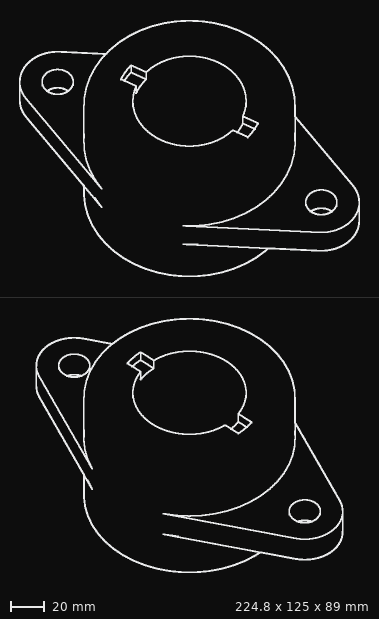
import cadquery as cq
import math

hub_diameter = 125.0
hub_height = 89.0
bore_diameter = 67.0
top_fillet = 5.0

flange_length = 224.8
ear_radius = 22.5
flange_bottom = 31.3
flange_thickness = 18
bolt_hole_diameter = 18.5

keyway_circle_diameter = 87.5
keyway_width = 12.0
keyway_depth = 7.0

hub_radius = hub_diameter / 2
ear_offset = flange_length / 2 - ear_radius


def make_hub():
    hub = cq.Workplane("XY").circle(hub_radius).extrude(hub_height)
    return hub.faces(">Z").edges().fillet(top_fillet)


def make_flange():
    """Plate with straight sides tangent to the hub and ears; its middle lies inside the hub."""
    tangent_cos = (hub_radius - ear_radius) / ear_offset
    tangent_sin = math.sqrt(1 - tangent_cos**2)
    hub_x = hub_radius * tangent_cos
    hub_y = hub_radius * tangent_sin
    ear_x = ear_offset + ear_radius * tangent_cos
    ear_y = ear_radius * tangent_sin
    tip_x = flange_length / 2
    return (
        cq.Workplane("XY")
        .workplane(offset=flange_bottom)
        .moveTo(hub_x, hub_y)
        .lineTo(ear_x, ear_y)
        .threePointArc((tip_x, 0), (ear_x, -ear_y))
        .lineTo(hub_x, -hub_y)
        .lineTo(-hub_x, -hub_y)
        .lineTo(-ear_x, -ear_y)
        .threePointArc((-tip_x, 0), (-ear_x, ear_y))
        .lineTo(-hub_x, hub_y)
        .close()
        .extrude(flange_thickness)
    )


def make_bolt_holes():
    return (
        cq.Workplane("XY")
        .workplane(offset=flange_bottom)
        .pushPoints([(-ear_offset, 0), (ear_offset, 0)])
        .circle(bolt_hole_diameter / 2)
        .extrude(flange_thickness)
    )


def make_keyways():
    """Bar across the bore, rounded at its ends by the keyway circle."""
    keyway_plane = cq.Workplane("XY").workplane(offset=hub_height - keyway_depth)
    bar = keyway_plane.rect(keyway_circle_diameter, keyway_width).extrude(keyway_depth)
    disc = keyway_plane.circle(keyway_circle_diameter / 2).extrude(keyway_depth)
    return bar.intersect(disc)


bore = cq.Workplane("XY").circle(bore_diameter / 2).extrude(hub_height)

result = make_hub().union(make_flange())
result = result.cut(bore).cut(make_bolt_holes()).cut(make_keyways())